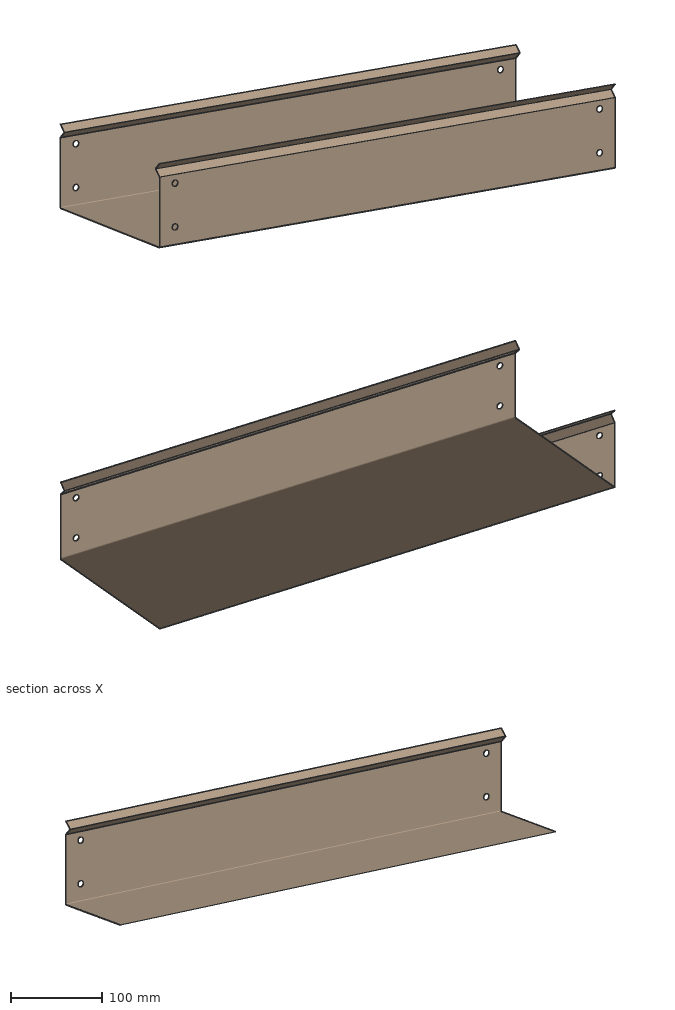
import cadquery as cq
import math

length = 600.0
width = 198.0
height = 96.0
sheet = 0.9
bend_radius = 2.0

wall_height = 81.0
lip_depth = 9.0
lip_tip_height = (wall_height + height) / 2

hole_diameter = 7.0
hole_end_distance = 20.5
hole_heights = (21.0, 71.0)

half_width = width / 2
half_length = length / 2


def channel():
    """Thin folded sheet, symmetric about the YZ plane."""
    lip_rise = (height - wall_height) / 2
    lip_angle = math.atan2(lip_rise, lip_depth) + math.asin(sheet / math.hypot(lip_rise, lip_depth))
    tip_offset = sheet / math.sin(lip_angle)
    bend_drop = sheet * math.tan(math.pi / 4 - lip_angle / 2)
    right_half = [
        (half_width, 0),
        (half_width, wall_height),
        (half_width - lip_depth + tip_offset, lip_tip_height),
        (half_width, height),
        (half_width - tip_offset, height),
        (half_width - lip_depth, lip_tip_height),
        (half_width - sheet, wall_height - bend_drop),
        (half_width - sheet, sheet),
    ]
    left_half = [(-x, z) for x, z in reversed(right_half)]
    folded = (
        cq.Workplane("XZ")
        .polyline(right_half + left_half)
        .close()
        .extrude(half_length, both=True)
    )
    inner_bends = cq.selectors.BoxSelector(
        (-half_width, -half_length, sheet / 2),
        (half_width, half_length, sheet * 2),
    )
    folded = folded.edges("|Y").edges(inner_bends).fillet(bend_radius - sheet)
    return folded.faces("<Z").edges("|Y").fillet(bend_radius)


def wall_holes():
    """Holes through both side walls near each end."""
    hole_y = half_length - hole_end_distance
    points = [(y, z) for y in (-hole_y, hole_y) for z in hole_heights]
    return (
        cq.Workplane("YZ")
        .pushPoints(points)
        .circle(hole_diameter / 2)
        .extrude(width, both=True)
    )


result = channel().cut(wall_holes())